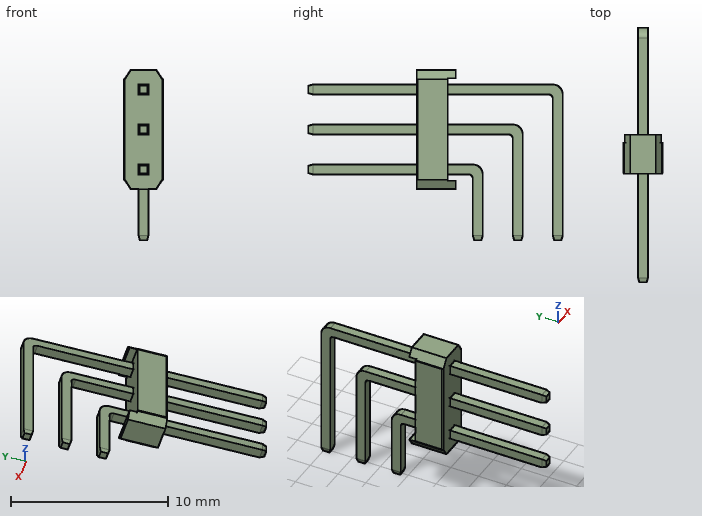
import cadquery as cq

pitch = 2.55
pin_count = 3

housing_height = 7.58
housing_depth = 2.5
crown_width = 1.62
face_width = 2.41
bevel_height = 0.6
wall_width = pitch
wall_height = housing_height - 2 * bevel_height
wall_chamfer_depth = 0.08
recess_depth = 0.5
lip_height = 0.53

pin_size = 0.65
total_length = 16.2
front_reach = 6.9
drop_below_housing = 3.25
inner_bend_radius = 0.26
outer_bend_radius = 0.65
tip_length = 0.3
tip_size = 0.47

rear_leg_y = total_length - front_reach - pin_size / 2
leg_bottom_z = -housing_height / 2 - drop_below_housing
row_heights = [(i - (pin_count - 1) / 2) * pitch for i in range(pin_count)]


def make_core():
    """Octagonal block running the full depth of the housing."""
    top = housing_height / 2
    shoulder = wall_height / 2
    half_crown = crown_width / 2
    half_face = face_width / 2
    return (
        cq.Workplane("XZ")
        .moveTo(-half_crown, top)
        .lineTo(half_crown, top)
        .lineTo(half_face, shoulder)
        .lineTo(half_face, -shoulder)
        .lineTo(half_crown, -top)
        .lineTo(-half_crown, -top)
        .lineTo(-half_face, -shoulder)
        .lineTo(-half_face, shoulder)
        .close()
        .extrude(-housing_depth)
    )


def make_walls():
    """Wider block whose front edges are chamfered back to the front face."""
    half_face = face_width / 2
    half_wall = wall_width / 2
    return (
        cq.Workplane("XY")
        .workplane(offset=-wall_height / 2)
        .moveTo(-half_face, 0)
        .lineTo(half_face, 0)
        .lineTo(half_wall, wall_chamfer_depth)
        .lineTo(half_wall, housing_depth)
        .lineTo(-half_wall, housing_depth)
        .lineTo(-half_wall, wall_chamfer_depth)
        .close()
        .extrude(wall_height)
    )


def make_housing():
    """Housing with its rear recess and a square through hole for each pin."""
    recess = (
        cq.Workplane("XY")
        .box(wall_width, recess_depth, housing_height - 2 * lip_height)
        .translate((0, housing_depth - recess_depth / 2, 0))
    )
    housing = make_core().union(make_walls()).cut(recess)
    for z in row_heights:
        hole = (
            cq.Workplane("XY")
            .box(pin_size, housing_depth, pin_size)
            .translate((0, housing_depth / 2, z))
        )
        housing = housing.cut(hole)
    return housing


def make_tip(base_plane):
    """Tapered square end grown from the given plane along its normal."""
    return (
        cq.Workplane(base_plane)
        .rect(pin_size, pin_size)
        .workplane(offset=tip_length)
        .rect(tip_size, tip_size)
        .loft(ruled=True)
    )


def make_pin(row_z, leg_y):
    """Right-angle pin: straight through the housing, then bent down into a leg."""
    half = pin_size / 2
    front_shoulder_y = -front_reach + tip_length
    leg_shoulder_z = leg_bottom_z + tip_length
    bar = (
        cq.Workplane("YZ")
        .moveTo(front_shoulder_y, row_z + half)
        .lineTo(leg_y + half, row_z + half)
        .lineTo(leg_y + half, leg_shoulder_z)
        .lineTo(leg_y - half, leg_shoulder_z)
        .lineTo(leg_y - half, row_z - half)
        .lineTo(front_shoulder_y, row_z - half)
        .close()
        .extrude(half, both=True)
    )
    inner_corner = cq.selectors.NearestToPointSelector((0, leg_y - half, row_z - half))
    outer_corner = cq.selectors.NearestToPointSelector((0, leg_y + half, row_z + half))
    bar = bar.edges(inner_corner).fillet(inner_bend_radius)
    bar = bar.edges(outer_corner).fillet(outer_bend_radius)
    front_plane = cq.Plane((0, front_shoulder_y, row_z), (1, 0, 0), (0, -1, 0))
    leg_plane = cq.Plane((0, leg_y, leg_shoulder_z), (1, 0, 0), (0, 0, -1))
    return bar.union(make_tip(front_plane)).union(make_tip(leg_plane))


housing = make_housing()

pins = []
for row, row_z in enumerate(row_heights):
    leg_y = rear_leg_y - (pin_count - 1 - row) * pitch
    pins.append(make_pin(row_z, leg_y).val())

result = cq.Compound.makeCompound([housing.val(), *pins])